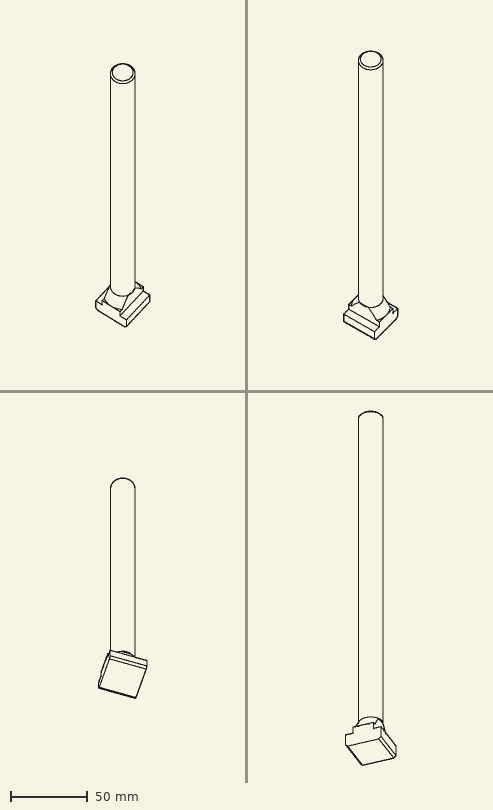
import cadquery as cq

total_height = 259.0
head_side = 25.0
head_height = 9.0
head_chamfer = 1.5
neck_width = 14.5
neck_top = 13.7
shank_diameter = 16.0
shank_start = 22.0
tip_chamfer = 1.3


def make_head():
    """Square plate with its two lower edges along Y chamfered."""
    plate = cq.Workplane("XY").box(head_side, head_side, head_height, centered=(True, True, False))
    return plate.faces("<Z").edges("|Y").chamfer(head_chamfer)


def make_neck():
    """Flat-sided neck: a rectangular block below a cone trimmed to the same width."""
    cone = (
        cq.Workplane("XY", origin=(0, 0, neck_top))
        .circle(head_side / 2)
        .workplane(offset=shank_start - neck_top)
        .circle(shank_diameter / 2)
        .loft()
    )
    block = (
        cq.Workplane("XY", origin=(0, 0, head_height))
        .rect(neck_width, head_side)
        .extrude(neck_top - head_height)
    )
    slot_envelope = cq.Workplane("XY").box(
        neck_width, head_side, shank_start, centered=(True, True, False)
    )
    return block.union(cone.intersect(slot_envelope))


def make_shank():
    """Round shank with a chamfered tip."""
    shank = (
        cq.Workplane("XY", origin=(0, 0, shank_start))
        .circle(shank_diameter / 2)
        .extrude(total_height - shank_start)
    )
    return shank.faces(">Z").chamfer(tip_chamfer)


result = make_head().union(make_neck()).union(make_shank())